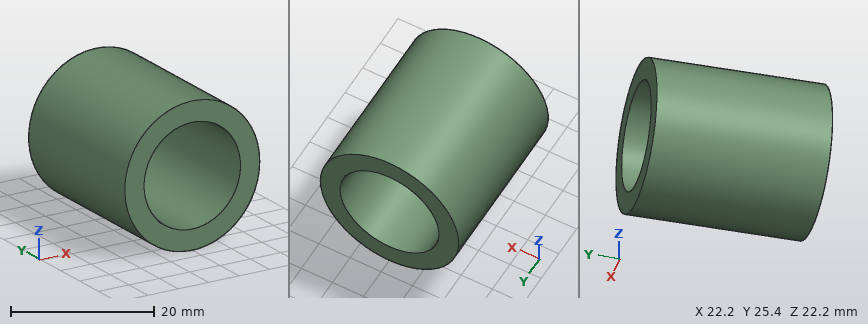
import cadquery as cq

length = 25.4
outer_diameter = 22.22
wall_thickness = 3.18
bore_diameter = outer_diameter - 2 * wall_thickness

result = (
    cq.Workplane("XZ", origin=(0, length / 2, 0))
    .circle(outer_diameter / 2)
    .circle(bore_diameter / 2)
    .extrude(length)
)